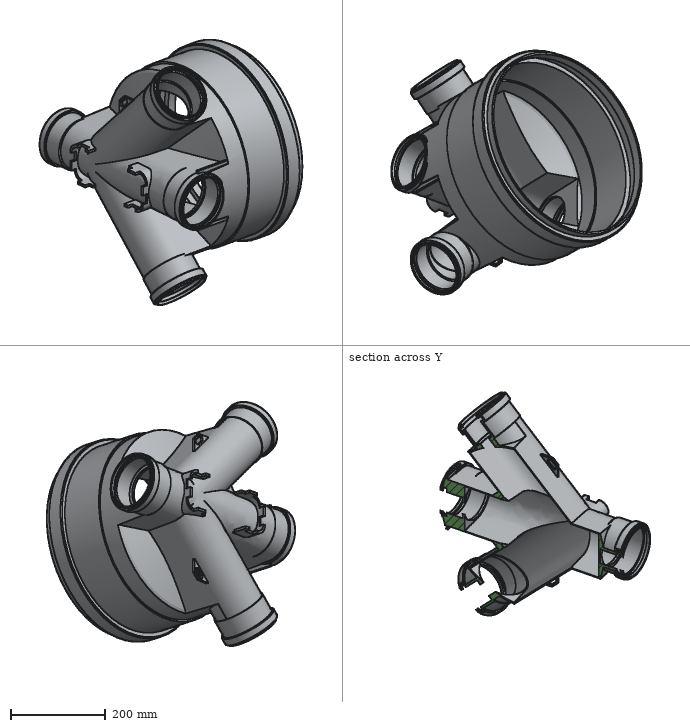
import cadquery as cq
import math


MOUTH_Y = 281.5
UPPER_OUTER_R = 413 / 2
UPPER_INNER_R = 404 / 2
UPPER_BOTTOM_Y = 131.5
CHAMBER_WALL = UPPER_OUTER_R - UPPER_INNER_R
LOWER_OUTER_R = 404.9 / 2
LOWER_INNER_R = LOWER_OUTER_R - CHAMBER_WALL
LOWER_BOTTOM_Y = 88.7
BAND_OUTER_R = 436.1 / 2
BAND_GROOVE_R = 427.1 / 2
BAND_BOTTOM_Y = 229.0
BAND_TOP_Y = 265.5
BAND_CHAMFER = 2.5
BENCH_RIM_R = 196.5
BENCH_RIM_Y = 84.7
BENCH_APEX_Y = 22.0
BENCH_WALL = 4.0
BENCH_RIM_SPLIT_X = 40.0

JUNCTION_X = -97.7
CHANNEL_HALF_WIDTH = 56.5
CHANNEL_DEPTH = 53.5
INLET_END_HALF_WIDTH = 58.0
BRANCH_PIPE_R = 56.2
OUTLET_AXIS_Y = -0.6
WALL_DRAFT = math.radians(2.6)
CHANNEL_WALL = 3.3
CHANNEL_TOP_Y = 100.0
INLET_AXIS_Y = 3.0

SOCKET_LENGTH = 61.5
SOCKET_OVERLAP = 60.0
SOCKET_OUTER_R = 116.6 / 2
SOCKET_BORE_R = 110.4 / 2
FLANGE_R = 126.5 / 2
FLANGE_LENGTH = 17.0
FLANGE_CHAMFER = 0.9
LIP_LENGTH = 4.0
GROOVE_R = 120.3 / 2
GROOVE_LENGTH = 9.0
SHOULDER = 6.0
OUTLET_HOLE_R = 95 / 2
INLET_HOLE_R = 102 / 2
SEAL_LIP = 3.0
TOTAL_X = 467.85
OUTLET_END_X = BAND_OUTER_R - TOTAL_X
OUTLET_REACH = JUNCTION_X - OUTLET_END_X
STRAIGHT_REACH = 302.7
TOTAL_Y = 351.5
TOTAL_Z = 546.29
BRANCH_ANGLE = 45
BRANCH_COS = math.cos(math.radians(BRANCH_ANGLE))
BRANCH_SIN = math.sin(math.radians(BRANCH_ANGLE))
FLANGE_TOP_R = FLANGE_R - FLANGE_CHAMFER
BRANCH_REACH = (TOTAL_Z / 2 - FLANGE_TOP_R * BRANCH_COS) / BRANCH_SIN + LIP_LENGTH

RIB_REACH = 69.0
RIB_THICKNESS = 5.0
RIB_ALONG = 283.4

LUG_THICKNESS = 5.2
LUG_ALONG = 146.8
LUG_OUTER_OFFSET = 76.6
LUG_INNER_OFFSET = 50.0
LUG_EDGE_HALF = 10.0
LUG_SLOT_OFFSET = 66.2
LUG_SLOT_LENGTH = 26.0
LUG_SLOT_WIDTH = 12.0

FOOT_BOTTOM_Y = MOUTH_Y - TOTAL_Y
FOOT_HALF_WIDTH = 45.0
FOOT_THICKNESS = 5.5
FOOT_CORNER_R = 24.5
FOOT_LENGTH = 60.5
FOOT_NOTCH_LENGTH = 24.0
FOOT_NOTCH_DEPTH = 12.0
OUTLET_FOOT_X = -139.5
INLET_FOOT_X = 95.0


def revolve_about_y(points):
    return cq.Workplane("XY").polyline(points).close().revolve(360, (0, 0, 0), (0, 1, 0))


def cylinder_y(radius, bottom, top):
    return revolve_about_y([(0, bottom), (radius, bottom), (radius, top), (0, top)])


def cylinder_x(radius, start, end, axis_y):
    return cq.Workplane("YZ", origin=(start, axis_y, 0)).circle(radius).extrude(end - start)


def aim(shape, angle):
    """Turn a shape built along +X from the origin to a pipe direction at the junction."""
    return shape.rotate((0, 0, 0), (0, 1, 0), -angle).translate((JUNCTION_X, 0, 0))


def chamber_outer():
    return revolve_about_y([
        (0, BENCH_APEX_Y),
        (BENCH_RIM_R, BENCH_RIM_Y),
        (LOWER_OUTER_R, LOWER_BOTTOM_Y),
        (LOWER_OUTER_R, UPPER_BOTTOM_Y),
        (UPPER_OUTER_R, UPPER_BOTTOM_Y),
        (UPPER_OUTER_R, BAND_BOTTOM_Y),
        (BAND_OUTER_R - BAND_CHAMFER, BAND_BOTTOM_Y),
        (BAND_OUTER_R, BAND_BOTTOM_Y + BAND_CHAMFER),
        (BAND_OUTER_R, BAND_TOP_Y - BAND_CHAMFER),
        (BAND_OUTER_R - BAND_CHAMFER, BAND_TOP_Y),
        (UPPER_OUTER_R, BAND_TOP_Y),
        (UPPER_OUTER_R, MOUTH_Y),
        (0, MOUTH_Y),
    ])


def straight_bench_rim():
    """Squares off the bench rim between the straight inlet and the branches."""
    rim = revolve_about_y([
        (0, BENCH_APEX_Y),
        (LOWER_OUTER_R, BENCH_RIM_Y),
        (LOWER_OUTER_R, UPPER_BOTTOM_Y),
        (0, UPPER_BOTTOM_Y),
    ])
    inlet_side = box_between(
        (BENCH_RIM_SPLIT_X, BAND_OUTER_R), (0, MOUTH_Y), (-BAND_OUTER_R, BAND_OUTER_R)
    )
    return rim.intersect(inlet_side)


def chamber_cavity():
    groove_bottom = BAND_BOTTOM_Y + CHAMBER_WALL
    groove_top = BAND_TOP_Y - CHAMBER_WALL
    ledge_y = UPPER_BOTTOM_Y + CHAMBER_WALL
    return revolve_about_y([
        (0, BENCH_APEX_Y + BENCH_WALL),
        (BENCH_RIM_R - CHAMBER_WALL, BENCH_RIM_Y + BENCH_WALL),
        (LOWER_INNER_R, LOWER_BOTTOM_Y + BENCH_WALL),
        (LOWER_INNER_R, ledge_y),
        (UPPER_INNER_R, ledge_y),
        (UPPER_INNER_R, groove_bottom),
        (BAND_GROOVE_R, groove_bottom),
        (BAND_GROOVE_R, groove_top),
        (UPPER_INNER_R, groove_top),
        (UPPER_INNER_R, MOUTH_Y),
        (0, MOUTH_Y),
    ])


def channel_section(x, half_width, depth):
    """Closed U outline across a channel: round bottom below Y = 0, drafted walls above."""
    top_half_width = half_width + CHANNEL_TOP_Y * math.tan(WALL_DRAFT)
    outline = (
        cq.Workplane("YZ", origin=(x, 0, 0))
        .moveTo(CHANNEL_TOP_Y, top_half_width)
        .lineTo(0, half_width)
        .threePointArc((-depth, 0), (0, -half_width))
        .lineTo(CHANNEL_TOP_Y, -top_half_width)
        .close()
    )
    return outline.wire().val()


def channel(length, widening, offset=0.0):
    """Straight channel from the junction; offset shrinks it inwards for the inner face."""
    half_width = CHANNEL_HALF_WIDTH - offset
    depth = CHANNEL_DEPTH - offset
    start = channel_section(0, half_width, depth)
    end = channel_section(length, half_width + widening, depth + widening)
    return cq.Workplane(cq.Solid.makeLoft([start, end], True))


def socket_outer(reach, axis_y):
    flange_end = reach - LIP_LENGTH
    flange = cylinder_x(FLANGE_R, flange_end - FLANGE_LENGTH, flange_end, axis_y)
    flange = flange.edges("%CIRCLE").chamfer(FLANGE_CHAMFER)
    return cylinder_x(SOCKET_OUTER_R, reach - SOCKET_LENGTH, reach, axis_y).union(flange)


def socket_bore(reach, axis_y, hole_radius, hole_start):
    """Pipe seat with its seal groove, and the hole from the shoulder into the channel."""
    groove_end = reach - LIP_LENGTH - SEAL_LIP
    seat = cylinder_x(SOCKET_BORE_R, reach - SOCKET_LENGTH + SHOULDER, reach, axis_y)
    groove = cylinder_x(GROOVE_R, groove_end - GROOVE_LENGTH, groove_end, axis_y)
    hole = cylinder_x(hole_radius, hole_start, reach, axis_y)
    return seat.union(groove).union(hole)


def wall_rib():
    """Upright strip across the straight inlet, reaching past its walls."""
    along = (RIB_ALONG, RIB_ALONG + RIB_THICKNESS)
    return box_between(along, (0, BENCH_RIM_Y), (-RIB_REACH, RIB_REACH))


def lug():
    """Plate beside a branch inlet with a slot along the pipe, seam side at Y = 0."""
    foot_half = LUG_EDGE_HALF + LUG_OUTER_OFFSET - LUG_INNER_OFFSET
    plate = (
        cq.Workplane("XZ")
        .polyline([
            (LUG_ALONG - foot_half, LUG_INNER_OFFSET),
            (LUG_ALONG - LUG_EDGE_HALF, LUG_OUTER_OFFSET),
            (LUG_ALONG + LUG_EDGE_HALF, LUG_OUTER_OFFSET),
            (LUG_ALONG + foot_half, LUG_INNER_OFFSET),
        ])
        .close()
        .extrude(LUG_THICKNESS)
    )
    slot = (
        cq.Workplane("XZ")
        .center(LUG_ALONG, LUG_SLOT_OFFSET)
        .slot2D(LUG_SLOT_LENGTH, LUG_SLOT_WIDTH)
        .extrude(LUG_THICKNESS)
    )
    return plate.cut(slot)


def box_between(x_range, y_range, z_range):
    sizes = [high - low for low, high in (x_range, y_range, z_range)]
    corner = (x_range[0], y_range[0], z_range[0])
    return cq.Workplane("XY").box(*sizes, centered=False).translate(corner)


def foot():
    """U-shaped foot open towards +X, its bar at X = 0, with a castellated lower rim."""
    heights = (FOOT_BOTTOM_Y, 0)
    widths = (-FOOT_HALF_WIDTH, FOOT_HALF_WIDTH)
    outer = box_between((0, 2 * FOOT_LENGTH), heights, widths)
    outer = outer.edges("|Y").fillet(FOOT_CORNER_R)
    inner = outer.faces("<Y").wires().toPending().workplane().offset2D(-FOOT_THICKNESS)
    inner = inner.extrude(FOOT_BOTTOM_Y, combine=False)
    kept = box_between((0, FOOT_LENGTH), heights, widths)
    wall = outer.cut(inner).intersect(kept)

    rim = (FOOT_BOTTOM_Y, FOOT_BOTTOM_Y + FOOT_NOTCH_DEPTH)
    straight_end = FOOT_CORNER_R + FOOT_NOTCH_LENGTH
    bar_half = FOOT_HALF_WIDTH - FOOT_CORNER_R
    leg_notch = box_between((FOOT_CORNER_R, straight_end), rim, (0, FOOT_HALF_WIDTH))
    bar_notch = box_between((0, FOOT_CORNER_R), rim, (0, bar_half))
    corner_notch = box_between((0, FOOT_CORNER_R), rim, (-FOOT_HALF_WIDTH, -bar_half))
    tip_notch = box_between((straight_end, FOOT_LENGTH), rim, (-FOOT_HALF_WIDTH, 0))
    return wall.cut(leg_notch).cut(bar_notch).cut(corner_notch).cut(tip_notch)


INLET_WIDENING = INLET_END_HALF_WIDTH - CHANNEL_HALF_WIDTH
OUTLET = (180, OUTLET_REACH, OUTLET_AXIS_Y, OUTLET_HOLE_R, 0.0)
STRAIGHT_INLET = (0, STRAIGHT_REACH, INLET_AXIS_Y, INLET_HOLE_R, INLET_WIDENING)
BRANCHES = [
    (side * BRANCH_ANGLE, BRANCH_REACH, INLET_AXIS_Y, INLET_HOLE_R, 0.0) for side in (1, -1)
]
PIPES = [OUTLET, STRAIGHT_INLET] + BRANCHES

all_around = (-TOTAL_X, TOTAL_X)
channel_clip = cylinder_y(LOWER_OUTER_R, 0, LOWER_BOTTOM_Y)
channel_clip = channel_clip.union(box_between(all_around, (FOOT_BOTTOM_Y, 0), all_around))
body = chamber_outer().union(straight_bench_rim())
for angle, reach, axis_y, _, widening in PIPES:
    neck = reach - SOCKET_LENGTH
    outer_channel = aim(channel(neck + SOCKET_OVERLAP, widening), angle)
    body = body.union(outer_channel.intersect(channel_clip))
    body = body.union(aim(socket_outer(reach, axis_y), angle))
for angle, reach, axis_y, _, _ in BRANCHES:
    neck = reach - SOCKET_LENGTH
    body = body.union(aim(cylinder_x(BRANCH_PIPE_R, neck / 2, neck, axis_y), angle))
upper_lug = aim(lug(), BRANCH_ANGLE)
straight_rib = aim(wall_rib(), 0)
outlet_foot = foot().translate((OUTLET_FOOT_X, 0, 0))
inlet_foot = foot().rotate((0, 0, 0), (0, 1, 0), 180).translate((INLET_FOOT_X, 0, 0))
lower_lug = upper_lug.mirror("XY")
for part in (upper_lug, lower_lug, straight_rib, outlet_foot, inlet_foot):
    body = body.union(part)

trough_clip = cylinder_y(LOWER_INNER_R, FOOT_BOTTOM_Y, CHANNEL_TOP_Y)
body = body.cut(chamber_cavity())
for angle, reach, axis_y, hole_radius, widening in PIPES:
    neck = reach - SOCKET_LENGTH
    trough = aim(channel(neck, widening, CHANNEL_WALL), angle)
    body = body.cut(trough.intersect(trough_clip))
    body = body.cut(aim(socket_bore(reach, axis_y, hole_radius, neck / 2), angle))

result = body